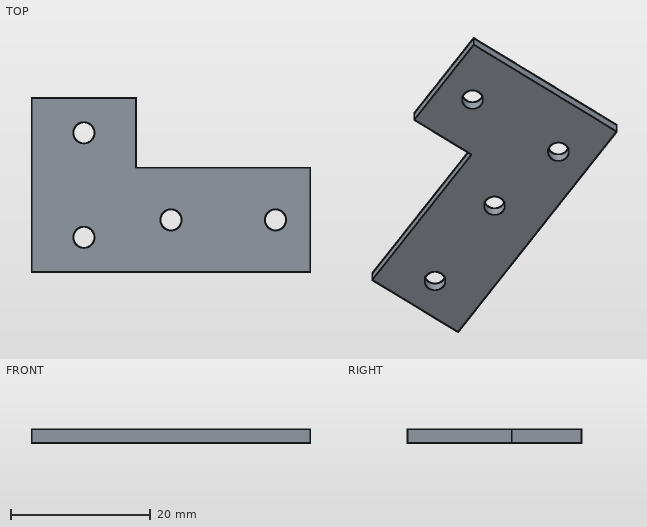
import cadquery as cq

length = 40.0
height = 25.0
thickness = 2.0
arm_width = 15.0

hole_diameter = 3.0
hole_end_margin = 5.0
hole_spacing = 15.0
arm_center = arm_width / 2

upright_hole_y = height - hole_end_margin
base_hole_x = length - hole_end_margin
hole_centers = [
    (arm_center, upright_hole_y),
    (arm_center, upright_hole_y - hole_spacing),
    (base_hole_x, arm_center),
    (base_hole_x - hole_spacing, arm_center),
]

base_arm = cq.Workplane("XY").box(length, arm_width, thickness, centered=False)
upright_arm = cq.Workplane("XY").box(arm_width, height, thickness, centered=False)
holes = (
    cq.Workplane("XY")
    .pushPoints(hole_centers)
    .circle(hole_diameter / 2)
    .extrude(thickness)
)

result = base_arm.union(upright_arm).clean().cut(holes)